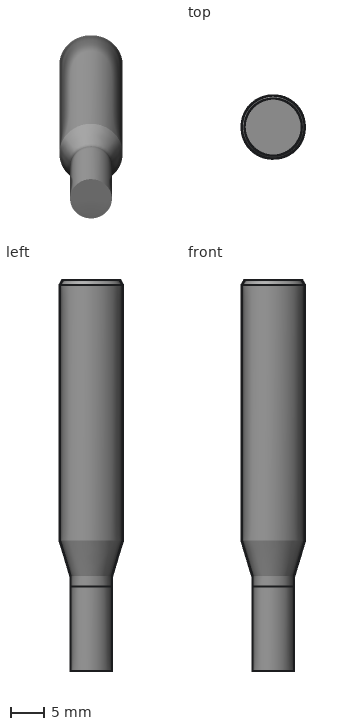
import cadquery as cq

total_length = 58.7
shank_diameter = 9.5
tip_diameter = 6.3

tip_length = 12.7
neck_length = 1.6
taper_length = 5.35

chamfer_height = 0.75
chamfer_width = 0.45

shank_radius = shank_diameter / 2
tip_radius = tip_diameter / 2
taper_bottom = tip_length + neck_length
taper_top = taper_bottom + taper_length


def make_tip():
    """Plain cylindrical tip that butts against the neck of the shank."""
    return cq.Workplane("XY").circle(tip_radius).extrude(tip_length)


def make_shank():
    """Turned shank: short neck, taper, long cylinder and chamfered end."""
    half_profile = (
        cq.Workplane("XZ")
        .moveTo(0, tip_length)
        .lineTo(tip_radius, tip_length)
        .lineTo(tip_radius, taper_bottom)
        .lineTo(shank_radius, taper_top)
        .lineTo(shank_radius, total_length - chamfer_height)
        .lineTo(shank_radius - chamfer_width, total_length)
        .lineTo(0, total_length)
        .close()
    )
    return half_profile.revolve(360, (0, 0), (0, 1))


tip = make_tip()
shank = make_shank()

result = cq.Compound.makeCompound([tip.val(), shank.val()])